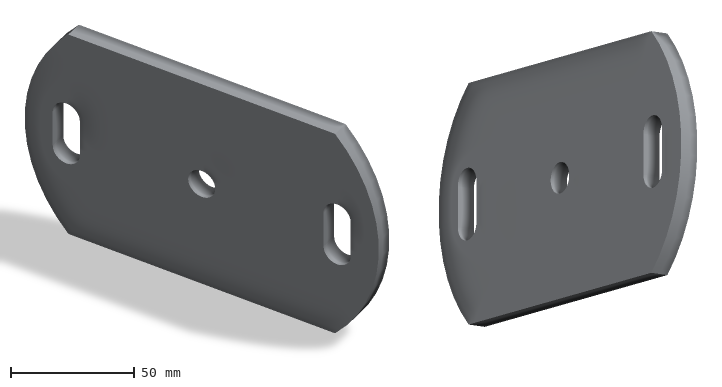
import cadquery as cq
import math

length = 170.0
height = 100.0
thickness = 8.0
end_radius = 70.0

hole_diameter = 13.0
slot_width = 13.0
slot_length = 30.0
slot_offset = 65.0

half_length = length / 2
half_height = height / 2
end_bulge = end_radius - math.sqrt(end_radius**2 - half_height**2)
corner_x = half_length - end_bulge


def through_thickness(profile):
    """Extrude an XZ profile over the plate thickness, symmetric about Y = 0."""
    return profile.extrude(thickness / 2, both=True)


def plate():
    """Plate blank with arc ends, centred on the origin."""
    outline = (
        cq.Workplane("XZ")
        .moveTo(-corner_x, -half_height)
        .lineTo(corner_x, -half_height)
        .threePointArc((half_length, 0), (corner_x, half_height))
        .lineTo(-corner_x, half_height)
        .threePointArc((-half_length, 0), (-corner_x, -half_height))
        .close()
    )
    return through_thickness(outline)


def centre_hole():
    """Round hole at the plate centre."""
    return through_thickness(cq.Workplane("XZ").circle(hole_diameter / 2))


def end_slots():
    """Upright round-ended slots, one near each arc end."""
    slots = (
        cq.Workplane("XZ")
        .pushPoints([(-slot_offset, 0), (slot_offset, 0)])
        .slot2D(slot_length, slot_width, angle=90)
    )
    return through_thickness(slots)


result = plate().cut(centre_hole()).cut(end_slots())